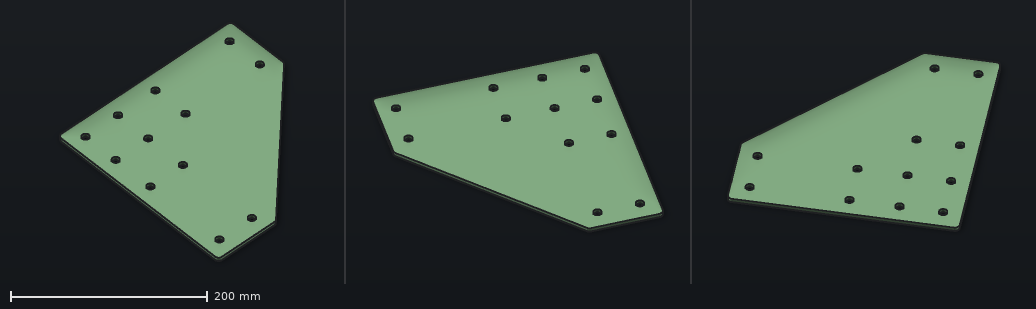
import cadquery as cq

side = 240.0
thickness = 5.0
end_width = 80.0
corner_radius = 5.0

hole_diameter = 8.6
edge_margin = 20.0
inner_offset = 65.0
middle_offset = 117.0
far_offset = side - edge_margin


def make_plate():
    """Square plate with one corner cut off and every outline corner rounded."""
    outline = [
        (0, 0),
        (side, 0),
        (side, end_width),
        (end_width, side),
        (0, side),
    ]
    plate = cq.Workplane("XY").polyline(outline).close().extrude(thickness)
    return plate.edges("|Z").fillet(corner_radius)


def hole_centers():
    """Two rows along each arm, sharing the four holes nearest the square corner."""
    rows = [edge_margin, inner_offset]
    centers = [(x, y) for x in rows for y in rows]
    for along in (middle_offset, far_offset):
        for across in rows:
            centers.append((along, across))
            centers.append((across, along))
    return centers


holes = (
    cq.Workplane("XY")
    .pushPoints(hole_centers())
    .circle(hole_diameter / 2)
    .extrude(thickness)
)

result = make_plate().cut(holes)